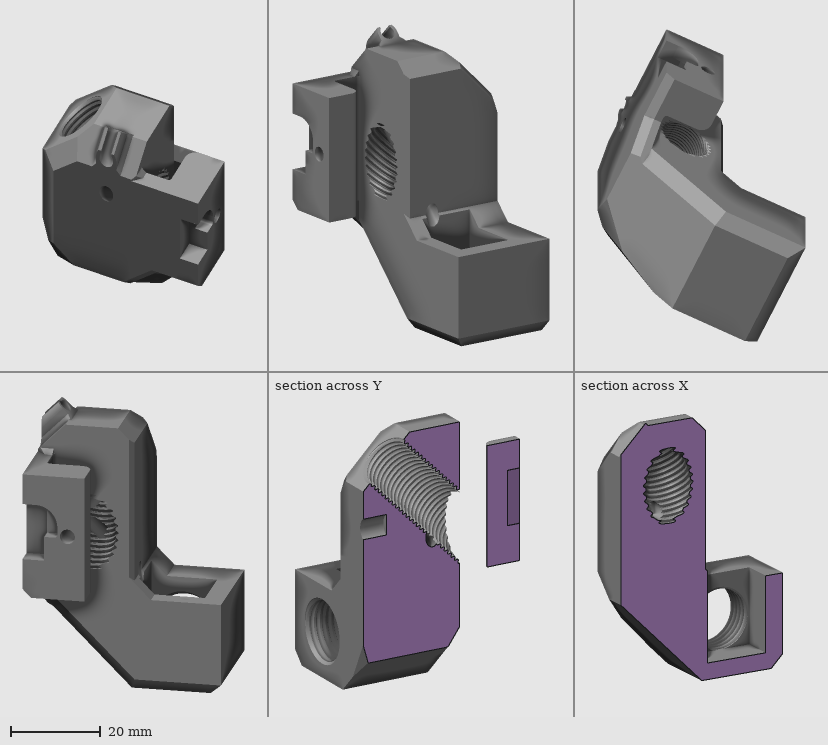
import cadquery as cq
import math

block_width = 25.0
column_depth = 22.0
column_top = 62.0
lug_back = 42.0
lug_top = 22.0
web_leg = 4.0
slope_sum = 21.0
shoulder_leg = 12.0
front_top_leg = 6.5
front_left_leg = 5.0
shoulder_front_leg = 3.75
back_top_leg = 3.5
shoulder_back_leg = 1.15
back_left_corner_y = 19.5
back_right_leg = 1.0
base_leg = 3.0
left_slope_corner_z = 27.5
cutter_size = 200.0

arm_end = 40.57
arm_thickness = 3.75
arm_top = 55.0
arm_bottom = 26.0
arm_bevel_foot = 30.0
arm_root = 15.0
arm_edge_leg = 2.0
hook_inner = 32.0
hook_depth = 14.15
hook_corner_radius = 2.5
hook_fillet = 0.75
gusset_leg = 1.15
gusset_trim = 24.2

rail_x = 18.0
rail_base_half = 3.5
rail_neck_half = 2.5
rail_height = 4.33
rail_bore = 3.4
rail_bore_height = 2.7
rail_slot_half = 1.25
rail_length = 12.0
rail_root = 1.5
rail_end_sum = 69.12

shoulder_thread_minor = 11.43
shoulder_thread_major = 12.65
shoulder_thread_pitch = 1.27
shoulder_thread_length = 34.0
lug_thread_minor = 14.01
lug_thread_major = 15.35
lug_thread_pitch = 1.5
thread_flank_angle = math.radians(30)
thread_root_ratio = 0.125
lug_hole_y = 30.0
lug_hole_z = 11.0
lug_pocket_left = 8.0
lug_pocket_width = 13.0
lug_pocket_length = 15.0
lug_pocket_floor = 4.0
screw_y = 10.3
screw_z = 41.0
screw_hole = 3.4
screw_head = 6.0
screw_head_depth = 6.0
cable_hole_diameter = 3.4
cable_hole_z = 48.1

recess_left = 36.1
recess_bottom = 35.0
recess_height = 13.0
recess_top = recess_bottom + recess_height
recess_depth = 5.0
insert_left = 37.5
insert_back = 12.5
insert_tip_y = 3.0
insert_arc_radius = 5.0
insert_ledge_z = 40.6
insert_fillet = 0.75


def unit(x, y, z):
    return cq.Vector(x, y, z).normalized()


def trim(body, point, outward):
    """Remove everything beyond the plane through point, on the side outward points to."""
    plane = cq.Plane(origin=point, normal=outward)
    return body.cut(cq.Workplane(plane).rect(cutter_size, cutter_size).extrude(cutter_size))


def box(x0, x1, y0, y1, z0, z1):
    return cq.Workplane("XY").box(x1 - x0, y1 - y0, z1 - z0, centered=False).translate((x0, y0, z0))


def prism_along_x(points, x0, x1):
    return cq.Workplane("YZ", origin=(x0, 0, 0)).polyline(points).close().extrude(x1 - x0)


left = cq.Vector(-1, 0, 0)
right = cq.Vector(1, 0, 0)
front = cq.Vector(0, -1, 0)
back = cq.Vector(0, 1, 0)
up = cq.Vector(0, 0, 1)
down = cq.Vector(0, 0, -1)
shoulder_out = unit(-1, 0, 1)
slope_out = unit(0, -1, -1)
shoulder_mid_x = shoulder_leg / 2
shoulder_mid_z = column_top - shoulder_leg / 2


def make_block():
    """Column and lug with their bevels and corner facets."""
    body = box(0, block_width, 0, column_depth, 0, column_top)
    body = trim(body, (0, 0, column_top - shoulder_leg), shoulder_out)
    body = trim(body, (0, column_depth, column_top - back_top_leg), back + up)
    shoulder_back_out = shoulder_out + back
    shoulder_back_y = column_depth - shoulder_back_leg
    body = trim(body, (shoulder_mid_x, shoulder_back_y, shoulder_mid_z), shoulder_back_out)
    back_left_out = left + shoulder_back_out.normalized()
    body = trim(body, (0, back_left_corner_y, column_top - shoulder_leg), back_left_out)
    body = trim(body, (block_width - back_right_leg, column_depth, 0), right + back)
    lug = prism_along_x(
        [
            (0, 0),
            (lug_back, 0),
            (lug_back, lug_top),
            (column_depth + web_leg, lug_top),
            (column_depth - web_leg, lug_top + 2 * web_leg),
            (0, lug_top),
        ],
        0,
        block_width,
    )
    body = body.union(lug)
    body = trim(body, (0, 0, column_top - front_top_leg), front + up)
    body = trim(body, (front_left_leg, 0, 0), front + left)
    body = trim(body, (shoulder_mid_x, shoulder_front_leg, shoulder_mid_z), shoulder_out + front)
    body = trim(body, (0, slope_sum, 0), slope_out)
    corner_out = unit(-1, -2, -1)
    body = trim(body, (front_left_leg, 0, slope_sum + front_left_leg), corner_out)
    body = trim(body, (0, front_left_leg, left_slope_corner_z), corner_out + left)
    body = trim(body, (block_width - base_leg, slope_sum, 0), slope_out + right)
    body = trim(body, (block_width - base_leg, 0, 0), right + down)
    body = trim(body, (0, lug_back - base_leg, 0), back + down)
    return body


def make_arm():
    """Flat arm with a 45 degree brace under it and a thick hook at its end."""
    slope_offset = arm_bevel_foot - arm_bottom
    bar = box(arm_root, arm_end, 0, arm_thickness, arm_bottom, arm_top)
    bar = trim(bar, (0, 0, arm_bottom + arm_edge_leg), front + down)
    brace = (
        cq.Workplane("XZ")
        .polyline(
            [
                (arm_root, arm_top),
                (arm_bevel_foot, arm_top),
                (arm_bevel_foot, arm_bottom),
                (arm_root, arm_root - slope_offset),
            ]
        )
        .close()
        .extrude(-arm_thickness)
    )
    brace_out = unit(1, 0, -1)
    brace = trim(brace, (arm_bevel_foot, arm_edge_leg, arm_bottom), brace_out + front)
    brace = trim(brace, (0, slope_sum, 0), slope_out)
    hook = (
        box(hook_inner, arm_end, 0, hook_depth, arm_bottom, arm_top)
        .edges("|Z and <X and >Y")
        .fillet(hook_corner_radius)
    )
    hook = trim(hook, (0, 0, arm_bottom + arm_edge_leg), front + down)
    return bar.union(hook).union(brace)


def make_inner_fillet(x, direction):
    """Fillet between the back of the arm and a wall at x; direction points from the wall into the gap."""
    radius = hook_fillet
    height = arm_top - arm_bottom
    corner = cq.Workplane("XY", origin=(x + direction * radius / 2, arm_thickness + radius / 2, arm_bottom))
    round_center = cq.Workplane("XY", origin=(x + direction * radius, arm_thickness + radius, arm_bottom))
    return corner.rect(radius, radius).extrude(height).cut(round_center.circle(radius).extrude(height))


def make_gusset():
    """Small sloped gusset on top of the arm, against the column."""
    gusset = (
        cq.Workplane("XZ")
        .polyline(
            [
                (arm_root, arm_top),
                (block_width + gusset_leg, arm_top),
                (block_width, arm_top + gusset_leg),
                (arm_root, arm_top + gusset_leg),
            ]
        )
        .close()
        .extrude(-arm_thickness)
    )
    return trim(gusset, (0, 0, column_top - front_top_leg), front + up)


def make_gusset_trim():
    """Upright 45 degree wedge that clears the front corner of the gusset and of the column."""
    reach = arm_thickness
    return (
        cq.Workplane("XY", origin=(0, 0, arm_top))
        .polyline([(gusset_trim, 0), (gusset_trim + reach, 0), (gusset_trim + reach, reach)])
        .close()
        .extrude(2 * gusset_leg)
    )


def make_rail():
    """Cable rail standing on the bevel between top and front, and the channel to cut along it."""
    flare = rail_base_half - rail_neck_half
    tip_half = math.sqrt(rail_neck_half**2 - (rail_height - rail_bore_height) ** 2)
    arc_angle = math.atan2(rail_height - rail_bore_height, tip_half) / 2
    arc_mid = (
        rail_neck_half * math.cos(arc_angle),
        rail_bore_height + rail_neck_half * math.sin(arc_angle),
    )
    end_y = (rail_end_sum - column_top + front_top_leg) / 2
    end_z = rail_end_sum - end_y
    plane = cq.Plane(origin=(rail_x, end_y, end_z), xDir=(1, 0, 0), normal=slope_out)
    rail = (
        cq.Workplane(plane)
        .moveTo(-rail_base_half, -rail_root)
        .lineTo(-rail_base_half, 0)
        .lineTo(-rail_neck_half, flare)
        .lineTo(-rail_neck_half, rail_bore_height)
        .threePointArc((-arc_mid[0], arc_mid[1]), (-tip_half, rail_height))
        .lineTo(tip_half, rail_height)
        .threePointArc(arc_mid, (rail_neck_half, rail_bore_height))
        .lineTo(rail_neck_half, flare)
        .lineTo(rail_base_half, 0)
        .lineTo(rail_base_half, -rail_root)
        .close()
        .extrude(rail_length)
    )
    bore = cq.Workplane(plane).center(0, rail_bore_height).circle(rail_bore / 2).extrude(rail_length)
    slot_height = rail_height - rail_bore_height
    slot = (
        cq.Workplane(plane)
        .center(0, rail_bore_height + slot_height / 2)
        .rect(2 * rail_slot_half, slot_height)
        .extrude(rail_length)
    )
    return trim(rail, (0, 0, 0), front), bore.union(slot)


def make_threaded_rod(minor, major, pitch, length):
    """Solid of a threaded hole along Z, reaching past both Z = 0 and Z = length."""
    root_half = pitch * thread_root_ratio / 2
    mouth_half = root_half + (major - minor) / 2 * math.tan(thread_flank_angle)
    profile = [
        (minor / 2, -mouth_half),
        (major / 2, -root_half),
        (major / 2, root_half),
        (minor / 2, mouth_half),
        (minor / 2, pitch - mouth_half),
    ]
    start = -2 * pitch
    turns = math.ceil(length / pitch) + 3
    faces = []
    for turn in range(turns):
        helices = [
            cq.Wire.makeHelix(pitch, pitch, radius).translate(cq.Vector(0, 0, start + turn * pitch + z))
            for radius, z in profile
        ]
        faces += [cq.Face.makeRuledSurface(low, high) for low, high in zip(helices, helices[1:])]

    for base in (start, start + turns * pitch):
        axis_low = cq.Vector(0, 0, base - mouth_half)
        axis_high = axis_low + cq.Vector(0, 0, pitch)
        rim = cq.Wire.makeHelix(pitch, pitch, minor / 2).translate(axis_low)
        axis = cq.Wire.assembleEdges([cq.Edge.makeLine(axis_low, axis_high)])
        faces.append(cq.Face.makeRuledSurface(axis, rim))
        corners = [axis_low]
        corners += [cq.Vector(radius, 0, base + z) for radius, z in profile]
        corners.append(axis_high)
        faces.append(cq.Face.makeFromWires(cq.Wire.makePolygon(corners, close=True)))
    return cq.Workplane(cq.Solid.makeSolid(cq.Shell.makeShell(faces)).fix())


def cut_thread(body, minor, major, pitch, length, place):
    """Threaded hole along the Z axis of the plane place, with a bevelled mouth."""
    location = cq.Location(place)
    rod = trim(make_threaded_rod(minor, major, pitch, length), (0, 0, length), up)
    mouth = cq.Solid.makeCone(major / 2, minor / 2, (major - minor) / 2)
    body = body.cut(cq.Workplane(rod.val().located(location)))
    return body.cut(cq.Workplane(mouth.located(location)))


def make_housing():
    rail, rail_channel = make_rail()

    shoulder_hole_y = (shoulder_front_leg + column_depth - shoulder_back_leg) / 2
    shoulder_place = cq.Plane(
        origin=(shoulder_mid_x, shoulder_hole_y, shoulder_mid_z), xDir=(0, 1, 0), normal=unit(1, 0, -1)
    )
    housing = cut_thread(
        make_block(),
        shoulder_thread_minor,
        shoulder_thread_major,
        shoulder_thread_pitch,
        shoulder_thread_length,
        shoulder_place,
    )
    lug_place = cq.Plane(origin=(0, lug_hole_y, lug_hole_z), xDir=(0, 1, 0), normal=(1, 0, 0))
    housing = cut_thread(
        housing,
        lug_thread_minor,
        lug_thread_major,
        lug_thread_pitch,
        lug_pocket_left,
        lug_place,
    )

    housing = housing.union(make_arm()).union(make_gusset()).cut(make_gusset_trim())
    housing = housing.union(make_inner_fillet(block_width, 1)).union(make_inner_fillet(hook_inner, -1))
    housing = housing.union(rail).cut(rail_channel)

    housing = housing.cut(
        box(
            lug_pocket_left,
            lug_pocket_left + lug_pocket_width,
            lug_hole_y - lug_pocket_length / 2,
            lug_hole_y + lug_pocket_length / 2,
            lug_pocket_floor,
            lug_top + web_leg,
        )
    )

    screw_axis = cq.Workplane("YZ").center(screw_y, screw_z)
    housing = housing.cut(screw_axis.circle(screw_hole / 2).extrude(arm_end))
    housing = housing.cut(screw_axis.circle(screw_head / 2).extrude(screw_head_depth))
    cable_plane = cq.Plane(origin=(rail_x, 0, cable_hole_z), xDir=(1, 0, 0), normal=unit(0, 1, -1))
    cable_hole = cq.Workplane(cable_plane).circle(cable_hole_diameter / 2).extrude(cutter_size / 2, both=True)
    cable_hole = cable_hole.intersect(box(0, block_width, 0, lug_hole_y, 0, column_top))
    housing = housing.cut(cable_hole)

    housing = housing.cut(box(recess_left, arm_end, 0, recess_depth, recess_bottom, recess_top))
    return housing.cut(box(insert_left, arm_end, 0, insert_back, recess_bottom, recess_top))


def make_insert():
    """Insert in the arm end, with a ledge and a hollow rounded wall above it."""
    wall_y = insert_tip_y + insert_arc_radius
    arc_z = recess_top - insert_arc_radius
    bend = math.sqrt(0.5)
    insert = (
        cq.Workplane("YZ", origin=(insert_left, 0, 0))
        .moveTo(insert_back, recess_bottom)
        .lineTo(recess_depth, recess_bottom)
        .lineTo(recess_depth, insert_ledge_z)
        .lineTo(wall_y - insert_fillet, insert_ledge_z)
        .threePointArc(
            (
                wall_y - insert_fillet * (1 - bend),
                insert_ledge_z + insert_fillet * (1 - bend),
            ),
            (wall_y, insert_ledge_z + insert_fillet),
        )
        .lineTo(wall_y, arc_z)
        .threePointArc(
            (insert_tip_y + insert_arc_radius * bend, arc_z + insert_arc_radius * bend),
            (insert_tip_y, recess_top),
        )
        .lineTo(insert_back, recess_top)
        .close()
        .extrude(arm_end - insert_left)
    )
    screw = cq.Workplane("YZ").center(screw_y, screw_z).circle(screw_hole / 2).extrude(arm_end)
    return insert.cut(screw)


housing = make_housing()
insert = make_insert()
result = cq.Compound.makeCompound([housing.val(), insert.val()])